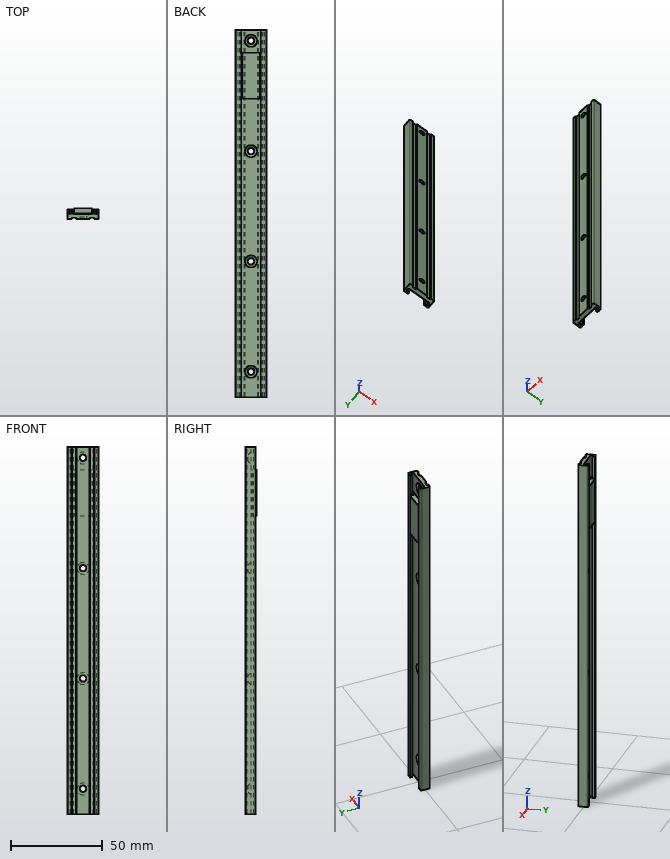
import cadquery as cq

overall_height = 6.0
carriage_rise = 0.5

rail_length = 200.0
rail_width = 17.0
rail_corner_radius = 0.5
side_wall = 1.2
floor_thickness = 2.8
floor_corner_radius = 0.3
lip_thickness = 1.2
lip_gap = 10.8

groove_spacing = 9.8
groove_width = 1.95
groove_depth = 0.7
groove_chamfer = 0.5

hole_count = 4
hole_pitch = 60.0
hole_end_distance = 6.0
hole_diameter = 3.5
countersink_diameter = 6.5
countersink_depth = 1.5

carriage_length = 25.0
carriage_z = 75.0
carriage_height = 3.0
carriage_width = 9.5
carriage_corner_radius = 0.3
wing_span = 11.5
wing_thickness = 0.7
wing_lift = 0.3

glider_clearance = 0.1

rail_back = -overall_height / 2
carriage_front = overall_height / 2
rail_front = carriage_front - carriage_rise
floor_front = rail_back + floor_thickness
lip_back = rail_front - lip_thickness
cavity_half_width = rail_width / 2 - side_wall
carriage_back = carriage_front - carriage_height


def bar(x_start, x_end, y_start, y_end, length, middle_z):
    """A rectangular bar along Z, between two X and two Y positions."""
    size_x = x_end - x_start
    size_y = y_end - y_start
    middle = ((x_start + x_end) / 2, (y_start + y_end) / 2, middle_z)
    return cq.Workplane("XY").box(size_x, size_y, length).translate(middle)


def rail_channel():
    """The inside of the rail: a wide cavity that opens forward between the lips."""
    cavity = bar(-cavity_half_width, cavity_half_width, floor_front, lip_back, rail_length, 0)
    cavity = cavity.edges("|Z and <Y").fillet(floor_corner_radius)
    opening = bar(-lip_gap / 2, lip_gap / 2, floor_front, rail_front, rail_length, 0)
    return cavity.union(opening)


def back_groove(middle_x):
    half_width = groove_width / 2
    half_mouth = half_width + groove_chamfer
    chamfer_y = rail_back + groove_chamfer
    groove_y = rail_back + groove_depth
    outline = [
        (middle_x - half_mouth, rail_back),
        (middle_x - half_width, chamfer_y),
        (middle_x - half_width, groove_y),
        (middle_x + half_width, groove_y),
        (middle_x + half_width, chamfer_y),
        (middle_x + half_mouth, rail_back),
    ]
    start = cq.Workplane("XY", origin=(0, 0, -rail_length / 2))
    return start.polyline(outline).close().extrude(rail_length)


def mounting_hole(z):
    radius = hole_diameter / 2
    sink_radius = countersink_diameter / 2
    half_profile = [
        (0, rail_back),
        (radius, rail_back),
        (radius, floor_front - countersink_depth),
        (sink_radius, floor_front),
        (0, floor_front),
    ]
    hole = cq.Workplane("XY").polyline(half_profile).close().revolve(360, (0, 0), (0, 1))
    return hole.translate((0, 0, z))


def make_rail():
    rail = bar(-rail_width / 2, rail_width / 2, rail_back, rail_front, rail_length, 0)
    rail = rail.edges("|Z").fillet(rail_corner_radius)
    rail = rail.cut(rail_channel())
    for side in (-1, 1):
        rail = rail.cut(back_groove(side * groove_spacing / 2))
    for index in range(hole_count):
        rail = rail.cut(mounting_hole(rail_length / 2 - hole_end_distance - index * hole_pitch))
    return rail


def make_carriage():
    half_width = carriage_width / 2
    block = bar(-half_width, half_width, carriage_back, carriage_front, carriage_length, carriage_z)
    block = block.edges("|Z and >Y").fillet(carriage_corner_radius)
    wing_back = carriage_back + wing_lift
    wing_front = wing_back + wing_thickness
    wings = bar(-wing_span / 2, wing_span / 2, wing_back, wing_front, carriage_length, carriage_z)
    return block.union(wings)


def make_glider(side):
    inner_x = side * carriage_width / 2
    outer_x = side * (cavity_half_width - glider_clearance)
    glider_back = floor_front + glider_clearance
    glider_front = lip_back - glider_clearance
    x_start, x_end = sorted((inner_x, outer_x))
    strip = bar(x_start, x_end, glider_back, glider_front, carriage_length, carriage_z)
    return strip.cut(make_carriage())


rail = make_rail()
carriage = make_carriage()
gliders = [make_glider(side) for side in (-1, 1)]

result = cq.Compound.makeCompound([rail.val(), carriage.val(), *[glider.val() for glider in gliders]])